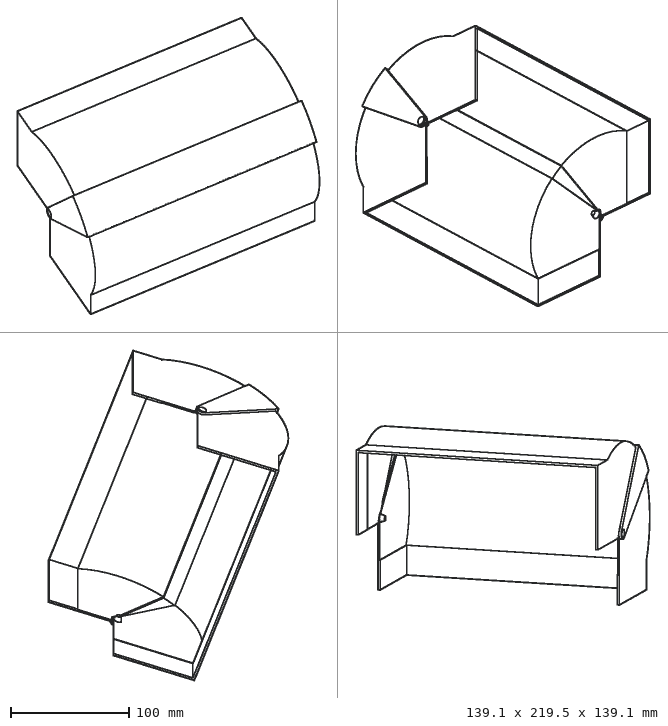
import cadquery as cq
import math

OVERALL_WIDTH = 219.5
HOOD_THICKNESS = 2.2
ARM_WIDTH = OVERALL_WIDTH - 2 * HOOD_THICKNESS

ARM_REACH = 61.2
ARM_ROOF = 69.3
ARM_EDGE = 3.3
STRAIGHT_WALL = 2.0
BULGE_WALL = 1.5
BULGE_RADIUS = 77.9
BULGE_START = math.sqrt(BULGE_RADIUS**2 - ARM_ROOF**2)

HOOD_RADIUS = BULGE_RADIUS + HOOD_THICKNESS
HOOD_LOW_ANGLE = 35.0
HOOD_HIGH_ANGLE = 90.0 - HOOD_LOW_ANGLE
EAR_RADIUS = 5.0
SEAM_OFFSET = 3.3
LOWER_END_ANGLE = 45.0

PIN_RADIUS = 3.5
PIN_TIP_RADIUS = 2.0
PIN_LENGTH = 7.7
PIN_TIP_LENGTH = PIN_LENGTH - HOOD_THICKNESS - BULGE_WALL


def centred_prism(sketch, width):
    """Extrude an XZ outline symmetrically about the XZ plane."""
    return sketch.extrude(width / 2, both=True)


def disc(radius, width):
    return centred_prism(cq.Workplane("XZ").circle(radius), width)


def block(x_min, x_max, z_min, z_max, width):
    sketch = cq.Workplane("XZ").moveTo(x_min, z_min).lineTo(x_max, z_min)
    sketch = sketch.lineTo(x_max, z_max).lineTo(x_min, z_max).close()
    return centred_prism(sketch, width)


def point_from_line(angle, along, left):
    """XZ point at a distance along, and left of, a ray from the pivot."""
    a = math.radians(angle)
    return (
        along * math.cos(a) - left * math.sin(a),
        along * math.sin(a) + left * math.cos(a),
    )


def end_cutter(angle, offset):
    """Everything to the right of a sloping end plane."""
    reach = 2 * HOOD_RADIUS
    corners = [
        point_from_line(angle, -reach, offset),
        point_from_line(angle, reach, offset),
        point_from_line(angle, reach, -reach),
        point_from_line(angle, -reach, -reach),
    ]
    return centred_prism(cq.Workplane("XZ").polyline(corners).close(), OVERALL_WIDTH)


def arm_shell(end_angle, end_offset):
    """Channel arm that opens toward -X, with a bulged roof and a sloping end."""
    far = 2 * HOOD_RADIUS
    bulge_bounds = block(-BULGE_START, far, -ARM_EDGE, far, ARM_WIDTH)
    outside = disc(BULGE_RADIUS, ARM_WIDTH).intersect(bulge_bounds)
    outside = outside.union(block(-ARM_REACH, -BULGE_START, -ARM_EDGE, ARM_ROOF, ARM_WIDTH))

    straight_cavity = block(
        -ARM_REACH, -BULGE_START, -ARM_EDGE, ARM_ROOF - STRAIGHT_WALL, ARM_WIDTH - 2 * STRAIGHT_WALL
    )
    bulge_cavity = disc(BULGE_RADIUS - BULGE_WALL, ARM_WIDTH - 2 * BULGE_WALL).intersect(bulge_bounds)
    shell = outside.cut(straight_cavity).cut(bulge_cavity)
    return shell.cut(end_cutter(end_angle, end_offset))


def make_hood():
    """Raised wedge-shaped lip, rounded about the pivot, that laps over the lower arm."""
    middle_angle = (HOOD_LOW_ANGLE + HOOD_HIGH_ANGLE) / 2

    def rim_point(angle, left):
        return point_from_line(angle, math.sqrt(HOOD_RADIUS**2 - left**2), left)

    sketch = cq.Workplane("XZ").moveTo(*point_from_line(HOOD_HIGH_ANGLE, 0, EAR_RADIUS))
    sketch = sketch.lineTo(*rim_point(HOOD_HIGH_ANGLE, EAR_RADIUS))
    sketch = sketch.threePointArc(rim_point(middle_angle, 0), rim_point(HOOD_LOW_ANGLE, -EAR_RADIUS))
    sketch = sketch.lineTo(*point_from_line(HOOD_LOW_ANGLE, 0, -EAR_RADIUS))
    sketch = sketch.threePointArc(
        point_from_line(middle_angle, -EAR_RADIUS, 0),
        point_from_line(HOOD_HIGH_ANGLE, 0, EAR_RADIUS),
    ).close()
    return centred_prism(sketch, OVERALL_WIDTH).cut(disc(BULGE_RADIUS, ARM_WIDTH))


def make_upper_arm():
    """Horizontal arm with its hood; its walls clear the ears of the lower arm."""
    arm = arm_shell(HOOD_HIGH_ANGLE, SEAM_OFFSET).cut(disc(EAR_RADIUS, ARM_WIDTH))
    return arm.union(make_hood()).cut(disc(PIN_RADIUS, OVERALL_WIDTH))


def make_lower_arm():
    """Vertical arm, the horizontal shape with X and Z swapped, plus round hinge ears."""
    arm = arm_shell(90 - LOWER_END_ANGLE, -SEAM_OFFSET)
    arm = arm.mirror("XY").rotate((0, 0, 0), (0, 1, 0), -90)
    ears = disc(EAR_RADIUS, ARM_WIDTH).cut(disc(EAR_RADIUS, ARM_WIDTH - 2 * BULGE_WALL))
    return arm.union(ears).cut(disc(PIN_RADIUS, OVERALL_WIDTH))


def make_pin(side):
    """Hinge pin, flush with the hood on one side (-1 or 1) and tapered at its inner tip."""
    profile = [
        (0, OVERALL_WIDTH / 2),
        (PIN_RADIUS, OVERALL_WIDTH / 2),
        (PIN_RADIUS, OVERALL_WIDTH / 2 - PIN_LENGTH + PIN_TIP_LENGTH),
        (PIN_TIP_RADIUS, OVERALL_WIDTH / 2 - PIN_LENGTH),
        (0, OVERALL_WIDTH / 2 - PIN_LENGTH),
    ]
    points = [(radius, side * y) for radius, y in profile]
    return cq.Workplane("XY").polyline(points).close().revolve(360, (0, 0, 0), (0, 1, 0))


upper_arm = make_upper_arm()
lower_arm = make_lower_arm()
pins = [make_pin(side) for side in (-1, 1)]

result = cq.Compound.makeCompound([upper_arm.val(), lower_arm.val(), *[pin.val() for pin in pins]])